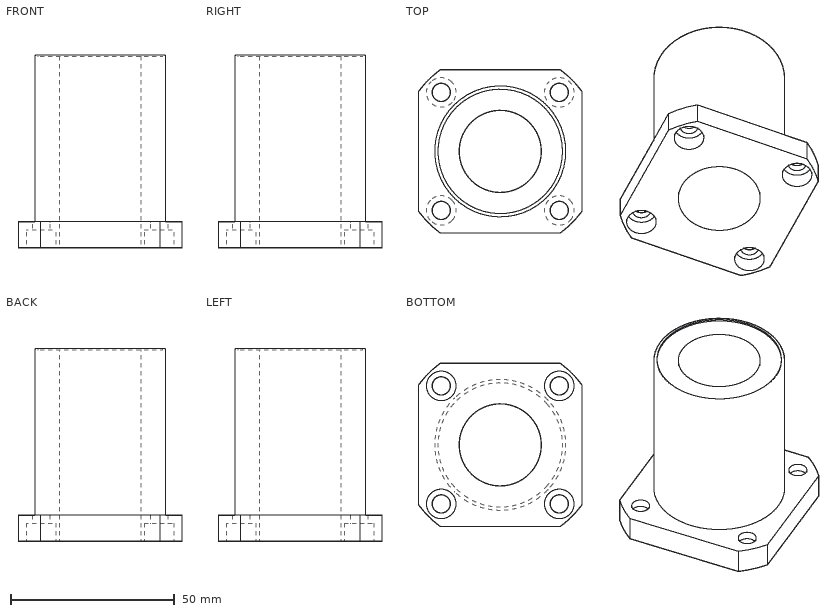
import cadquery as cq
import math

flange_width = 50.0
flange_corner_diameter = 61.95
flange_thickness = 8.0

total_height = 59.0
sleeve_diameter = 40.0
bore_diameter = 25.0
rim_fillet = 0.5
rim_flat = 0.5
end_face_recess = 0.5

bolt_circle_diameter = 51.0
bolt_hole_diameter = 5.5
counterbore_diameter = 9.0
counterbore_depth = 5.5
bolt_spacing = bolt_circle_diameter / math.sqrt(2)


def make_flange():
    """Square plate whose corners are turned down to a round."""
    square = cq.Workplane("XY").rect(flange_width, flange_width).extrude(flange_thickness)
    disc = cq.Workplane("XY").circle(flange_corner_diameter / 2).extrude(flange_thickness)
    return square.intersect(disc)


def make_sleeve():
    """Round body with a rounded rim standing proud of a slightly sunken end face."""
    sleeve = cq.Workplane("XY").circle(sleeve_diameter / 2).extrude(total_height)
    sleeve = sleeve.faces(">Z").fillet(rim_fillet)
    recess_radius = sleeve_diameter / 2 - rim_fillet - rim_flat
    recess = (
        cq.Workplane("XY", origin=(0, 0, total_height - end_face_recess))
        .circle(recess_radius)
        .extrude(end_face_recess)
    )
    return sleeve.cut(recess)


def make_bore():
    """Through bore along the sleeve axis."""
    return cq.Workplane("XY").circle(bore_diameter / 2).extrude(total_height)


def make_bolt_cutters(diameter, depth):
    """One cylinder per bolt position, rising from the underside of the flange."""
    return (
        cq.Workplane("XY")
        .rect(bolt_spacing, bolt_spacing, forConstruction=True)
        .vertices()
        .circle(diameter / 2)
        .extrude(depth)
    )


bolt_holes = make_bolt_cutters(bolt_hole_diameter, flange_thickness)
counterbores = make_bolt_cutters(counterbore_diameter, counterbore_depth)

result = make_flange().union(make_sleeve()).cut(make_bore()).cut(bolt_holes).cut(counterbores)